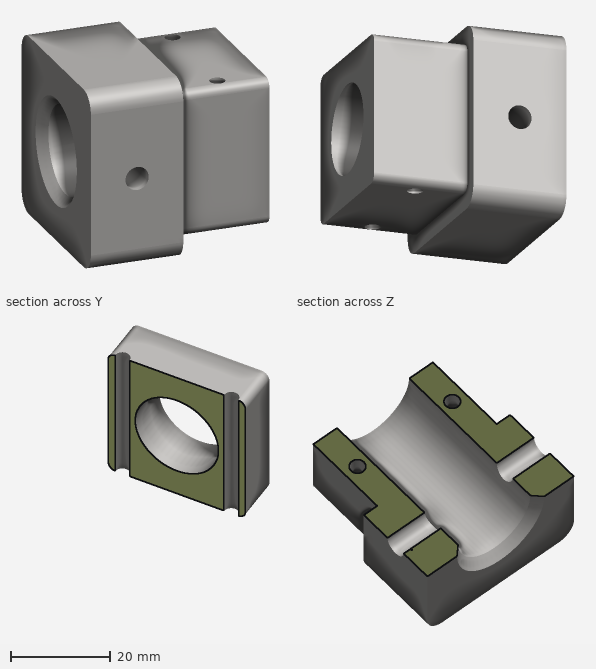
import cadquery as cq

total_length = 40.0
head_side = 38.65
head_length = total_length / 2
head_corner_radius = 4.0
plug_side = 31.6
plug_corner_radius = 1.85
bore_diameter = 19.0
bore_chamfer = 2.0
cross_hole_diameter = 5.0
pin_hole_diameter = 3.3
pin_hole_spacing = 25.0

plug_length = total_length - head_length
cross_hole_y = head_length / 2
pin_hole_y = head_length + plug_length / 2


def rounded_square_bar(side, length, corner_radius, start_y):
    """Square bar along +Y with rounded long edges, centred on the Y axis."""
    bar = cq.Workplane("XY").box(side, length, side, centered=(True, False, True))
    return bar.edges("|Y").fillet(corner_radius).translate((0, start_y, 0))


def front_bore():
    """Through bore with a conical lead-in at the head's front face."""
    bore_radius = bore_diameter / 2
    mouth_radius = bore_radius + bore_chamfer
    profile = (
        cq.Workplane("XY")
        .moveTo(0, 0)
        .lineTo(mouth_radius, 0)
        .lineTo(bore_radius, bore_chamfer)
        .lineTo(bore_radius, total_length)
        .lineTo(0, total_length)
        .close()
    )
    return profile.revolve(360, (0, 0, 0), (0, 1, 0))


def cross_hole():
    """Hole through both sides of the head along X."""
    hole = cq.Workplane("YZ").center(cross_hole_y, 0).circle(cross_hole_diameter / 2)
    return hole.extrude(head_side / 2, both=True)


def pin_holes():
    """Pair of vertical holes through the plug, one on each side of the bore."""
    half_spacing = pin_hole_spacing / 2
    centres = [(-half_spacing, pin_hole_y), (half_spacing, pin_hole_y)]
    holes = cq.Workplane("XY").pushPoints(centres).circle(pin_hole_diameter / 2)
    return holes.extrude(plug_side / 2, both=True)


head = rounded_square_bar(head_side, head_length, head_corner_radius, 0)
plug = rounded_square_bar(plug_side, plug_length, plug_corner_radius, head_length)

result = head.union(plug).cut(front_bore()).cut(cross_hole()).cut(pin_holes())